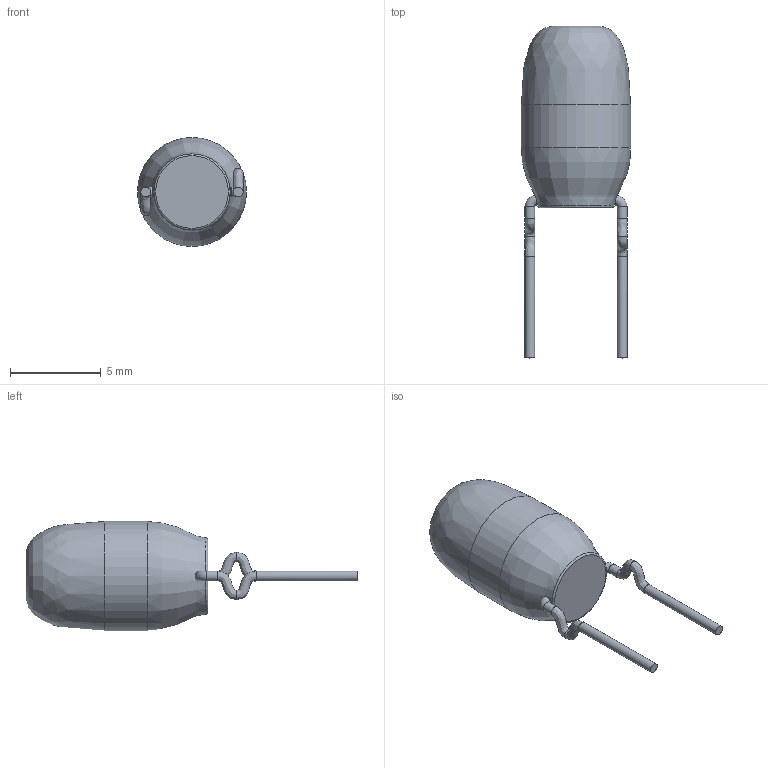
import cadquery as cq

body_length = 10.0
body_radius = 3.0
band_front = 3.3
band_back = 5.7
neck_radius = 2.1
neck_edge_radius = 0.1
back_flat_radius = 1.1
shoulder_pull = 1.9
neck_pull = 1.3
neck_slope = 0.18
back_side_pull = 3.6
back_face_pull = 1.0

wire_diameter = 0.54
lead_pitch = 5.08
lead_tip = -8.26
elbow_radius = 0.37
elbow_front = 0.06
root_depth = 0.7
kink_front = -2.68
kink_middle = -1.59
kink_back = -0.56
kink_depth = 1.04
kink_pull = 0.7
kink_exit_pull = 0.92


def make_body():
    """Revolve the barrel-shaped half profile about the Y axis."""
    profile = (
        cq.Workplane("XY")
        .lineTo(neck_radius - neck_edge_radius, 0)
        .radiusArc((neck_radius, neck_edge_radius), -neck_edge_radius)
        .bezier([
            (neck_radius, neck_edge_radius),
            (neck_radius + neck_slope * neck_pull, neck_edge_radius + neck_pull),
            (body_radius, band_front - shoulder_pull),
            (body_radius, band_front),
        ])
        .lineTo(body_radius, band_back)
        .bezier([
            (body_radius, band_back),
            (body_radius, band_back + back_side_pull),
            (back_flat_radius + back_face_pull, body_length),
            (back_flat_radius, body_length),
        ])
        .lineTo(0, body_length)
        .close()
    )
    return profile.revolve(360, (0, 0, 0), (0, 1, 0))


def sweep_wire(path, section_plane):
    """Sweep the round wire section along a path that starts at the plane origin."""
    return cq.Workplane(section_plane).circle(wire_diameter / 2).sweep(path)


def make_elbow(lead_x):
    """Wire leaving the body sideways and turning towards -Y."""
    elbow_start = (lead_x + elbow_radius, elbow_front + elbow_radius)
    root = (elbow_start[0] + root_depth, elbow_start[1])
    path = (
        cq.Workplane("XY")
        .moveTo(*root)
        .lineTo(*elbow_start)
        .tangentArcPoint((lead_x, elbow_front), relative=False)
    )
    plane = cq.Plane(origin=(*root, 0), xDir=(0, 1, 0), normal=(-1, 0, 0))
    return sweep_wire(path, plane)


def make_kinked_leg(lead_x):
    """Straight wire along -Y with one smooth downward kink."""
    path = (
        cq.Workplane("YZ", origin=(lead_x, 0, 0))
        .moveTo(elbow_front, 0)
        .lineTo(kink_back, 0)
        .bezier([
            (kink_back, 0),
            (kink_back - kink_pull, 0),
            (kink_middle + kink_pull, -kink_depth),
            (kink_middle, -kink_depth),
        ])
        .bezier([
            (kink_middle, -kink_depth),
            (kink_middle - kink_pull, -kink_depth),
            (kink_front + kink_exit_pull, 0),
            (kink_front, 0),
        ])
        .lineTo(lead_tip, 0)
    )
    plane = cq.Plane(origin=(lead_x, elbow_front, 0), xDir=(1, 0, 0), normal=(0, -1, 0))
    return sweep_wire(path, plane)


def make_left_lead():
    lead_x = -lead_pitch / 2
    return make_elbow(lead_x).union(make_kinked_leg(lead_x))


left_lead = make_left_lead()
right_lead = left_lead.rotate((0, 0, 0), (0, 1, 0), 180)

result = make_body().union(left_lead).union(right_lead)